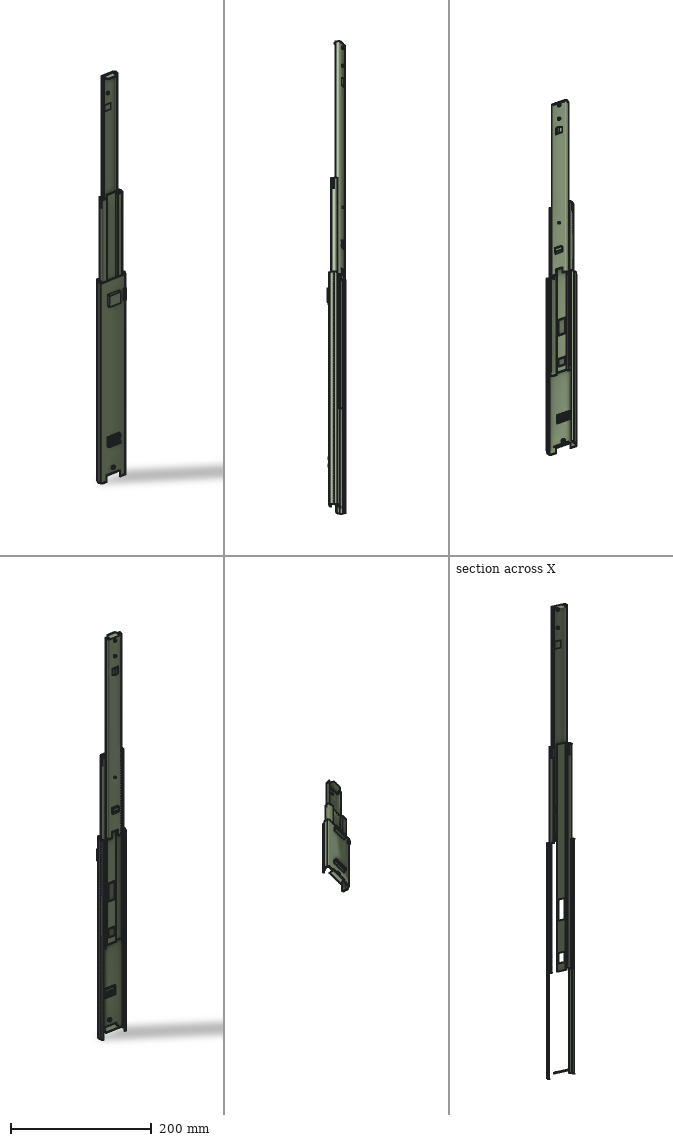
import cadquery as cq


SHEET = 1.5
THROUGH = 70.0

OUTER_BOTTOM, OUTER_TOP = -350.0, 0.0
OUTER_FRONT, OUTER_BACK = -6.0, 6.0
OUTER_FLANGE = 21.35
OUTER_OVERALL = 22.75
OUTER_MOUTH = 18.0
OUTER_FRONT_RADIUS, OUTER_BACK_RADIUS = 2.25, 1.7
RACE_X = 1.0
RACE_RADIUS = 4.0

MIDDLE_BOTTOM, MIDDLE_TOP = -192.5, 143.0
MIDDLE_FRONT, MIDDLE_BACK = -6.0, 4.0
MIDDLE_FLANGE = 18.0
MIDDLE_MOUTH = 15.5
MIDDLE_FRONT_RADIUS, MIDDLE_BACK_RADIUS = 4.55, 3.0
RIB_FRONT = 0.0
RIB_FOOT, RIB_CREST = 10.0, 8.0
TONGUE_TOP = 146.0
MIDDLE_WINDOWS = [(-117.0, -85.5), (-180.5, -165.0)]
WINDOW_HALF = 5.25

INNER_BOTTOM, INNER_TOP = -1.0, 350.0
INNER_FRONT, INNER_BACK = -8.5, -1.5
INNER_FLANGE = 12.25
INNER_RADIUS = 2.6
INNER_HOLES = [(344.0, 2.0), (316.5, 2.0), (103.5, 1.5)]
SLOT_HALF, SLOT_HEIGHT = 5.25, 10.5
END_TAB_SHOULDER, END_TAB_BACK = 0.0, 2.45
END_TAB_ROOT, END_TAB_TIP = 8.5, 6.0
LUG_FRONT = -10.5
LUG_HALF, LUG_CREST = 5.25, 1.75
LUG_BOTTOM, LUG_TOP = 285.5, 297.0
CATCH_BOTTOM, CATCH_TOP = 41.0, 52.0
CATCH_BEND = 2.0

HOOK_BACK, HOOK_VALLEY = 10.5, 8.0
HOOK_HALF = 10.0
HOOK_BOTTOM, HOOK_TOP = -290.0, -272.0
HOOK_SLIT_BOTTOM, HOOK_SLIT_TOP = -283.5, -281.0
HOOK_RISE, HOOK_CREST = 2.0, 2.0
SPACER_BOTTOM, SPACER_TOP = -43.5, -24.0
EAR_BACK = 8.5
EAR_INNER, EAR_OUTER = 17.0, 20.0
OUTER_HOLE_Z, OUTER_HOLE_RADIUS = -330.0, 3.0
NOTCH_HALF, NOTCH_TOP = 11.55, -339.5
FOOT_TAB_FRONT = -1.5
FOOT_TAB_DROP = 5.0
FOOT_TAB_TAPER = 2.0

STOP_INNER = 12.95
STOP_BOTTOM = 127.5
LOOSE_HALF_DEPTH = 1.5


def block(x_span, y_span, z_span):
    """Box between two limits along each axis."""
    size = [high - low for low, high in (x_span, y_span, z_span)]
    return cq.Workplane("XY").box(*size, centered=False).translate((x_span[0], y_span[0], z_span[0]))


def prism_along_y(points, half_width):
    """Extrude an XZ outline symmetrically about y = 0."""
    return cq.Workplane("XZ").polyline(points).close().extrude(half_width, both=True)


def prism_along_z(points, z_span):
    """Extrude an XY outline between two heights."""
    bottom, top = z_span
    return cq.Workplane("XY").workplane(offset=bottom).polyline(points).close().extrude(top - bottom)


def hole_along_x(height, radius):
    return cq.Workplane("YZ").center(0, height).circle(radius).extrude(THROUGH, both=True)


def rounded_bar(x_span, half_width, z_span, front_radius, back_radius):
    """Bar whose long edges are rounded; a radius of zero keeps that side sharp."""
    bar = block(x_span, (-half_width, half_width), z_span)
    if front_radius:
        bar = bar.edges("|Z and <X").fillet(front_radius)
    if back_radius:
        bar = bar.edges("|Z and >X").fillet(back_radius)
    return bar


def race_bars(radius, z_span):
    """Round bars along both flanges of the outer rail, centred on the ball races."""
    bottom, top = z_span
    race_y = OUTER_OVERALL - RACE_RADIUS
    centres = [(RACE_X, side * race_y) for side in (-1, 1)]
    return cq.Workplane("XY").workplane(offset=bottom).pushPoints(centres).circle(radius).extrude(top - bottom)


def hook_flap(root_z, tip_z):
    """Bent flap behind the outer web: out to its crest, then back to the slit in the middle."""
    up = 1 if tip_z > root_z else -1
    slope_end = root_z + up * HOOK_RISE
    crest_end = slope_end + up * HOOK_CREST
    outside = [
        (OUTER_BACK, root_z),
        (HOOK_BACK, slope_end),
        (HOOK_BACK, crest_end),
        (HOOK_VALLEY, tip_z),
    ]
    inside = [
        (HOOK_VALLEY - SHEET, tip_z),
        (HOOK_BACK - SHEET, crest_end),
        (HOOK_BACK - SHEET, slope_end),
        (OUTER_BACK - SHEET, root_z),
    ]
    return prism_along_y(outside + inside, HOOK_HALF)


def foot_tab():
    """Tab bent forward from the top of the bottom notch, sloping down and widening to its tip."""
    tip_top = NOTCH_TOP - FOOT_TAB_DROP + SHEET
    side = [
        (OUTER_BACK, NOTCH_TOP),
        (OUTER_BACK, NOTCH_TOP + SHEET),
        (FOOT_TAB_FRONT, tip_top),
        (FOOT_TAB_FRONT, tip_top - SHEET),
    ]
    root_half = NOTCH_HALF - FOOT_TAB_TAPER
    plan = [
        (OUTER_BACK, -root_half),
        (OUTER_BACK, root_half),
        (FOOT_TAB_FRONT, NOTCH_HALF),
        (FOOT_TAB_FRONT, -NOTCH_HALF),
    ]
    return prism_along_y(side, NOTCH_HALF).intersect(prism_along_z(plan, (OUTER_BOTTOM, OUTER_TOP)))


def make_outer_rail():
    z_span = (OUTER_BOTTOM, OUTER_TOP)
    outside = rounded_bar(
        (OUTER_FRONT, OUTER_BACK), OUTER_FLANGE, z_span, OUTER_FRONT_RADIUS, OUTER_BACK_RADIUS
    ).union(race_bars(RACE_RADIUS, z_span))
    cavity = rounded_bar(
        (OUTER_FRONT + SHEET, OUTER_BACK - SHEET),
        OUTER_FLANGE - SHEET,
        z_span,
        OUTER_FRONT_RADIUS - SHEET,
        OUTER_BACK_RADIUS - SHEET,
    ).union(race_bars(RACE_RADIUS - SHEET, z_span))
    mouth = block((OUTER_FRONT, OUTER_FRONT + SHEET), (-OUTER_MOUTH, OUTER_MOUTH), z_span)
    rail = outside.cut(cavity).cut(mouth)

    web = (OUTER_BACK - SHEET, OUTER_BACK)
    rail = rail.cut(block(web, (-HOOK_HALF, HOOK_HALF), (HOOK_BOTTOM, HOOK_TOP)))
    sill = block(web, (-HOOK_HALF, HOOK_HALF), (HOOK_BOTTOM, HOOK_BOTTOM + SHEET))
    lintel = block(web, (-HOOK_HALF, HOOK_HALF), (HOOK_TOP - SHEET, HOOK_TOP))
    rail = rail.union(sill).union(hook_flap(HOOK_BOTTOM, HOOK_SLIT_BOTTOM))
    rail = rail.union(lintel).union(hook_flap(HOOK_TOP, HOOK_SLIT_TOP))

    spacer_z = (SPACER_BOTTOM, SPACER_TOP)
    rail = rail.union(block((OUTER_BACK - SHEET, HOOK_BACK), (-HOOK_HALF, HOOK_HALF), spacer_z))
    rail = rail.union(block((OUTER_BACK - SHEET, EAR_BACK), (EAR_INNER, EAR_OUTER), spacer_z))

    rail = rail.cut(hole_along_x(OUTER_HOLE_Z, OUTER_HOLE_RADIUS))
    rail = rail.cut(block(web, (-NOTCH_HALF, NOTCH_HALF), (OUTER_BOTTOM, NOTCH_TOP)))
    return rail.union(foot_tab())


def rib_prism(front, back, wall, z_span):
    """Trapezoidal rib between two depths, with its sloping sides moved inward by a wall."""
    web_front = MIDDLE_BACK - SHEET
    widening = (RIB_FOOT - RIB_CREST) / (web_front - RIB_FRONT)
    front_half = RIB_CREST + (front - RIB_FRONT) * widening - wall
    back_half = RIB_CREST + (back - RIB_FRONT) * widening - wall
    outline = [(front, -front_half), (front, front_half), (back, back_half), (back, -back_half)]
    return prism_along_z(outline, z_span)


def make_middle_rail():
    z_span = (MIDDLE_BOTTOM, MIDDLE_TOP)
    outside = rounded_bar(
        (MIDDLE_FRONT, MIDDLE_BACK), MIDDLE_FLANGE, z_span, MIDDLE_FRONT_RADIUS, MIDDLE_BACK_RADIUS
    )
    cavity = rounded_bar(
        (MIDDLE_FRONT + SHEET, MIDDLE_BACK - SHEET),
        MIDDLE_FLANGE - SHEET,
        z_span,
        MIDDLE_FRONT_RADIUS - SHEET,
        MIDDLE_BACK_RADIUS - SHEET,
    )
    mouth = block((MIDDLE_FRONT, MIDDLE_FRONT + SHEET), (-MIDDLE_MOUTH, MIDDLE_MOUTH), z_span)
    rail = outside.cut(cavity).cut(mouth)

    rail = rail.union(rib_prism(RIB_FRONT, MIDDLE_BACK, 0, z_span))
    rail = rail.cut(rib_prism(RIB_FRONT + SHEET, MIDDLE_BACK, SHEET, z_span))
    crest = (RIB_FRONT, RIB_FRONT + SHEET)
    rail = rail.union(block(crest, (-RIB_CREST, RIB_CREST), (MIDDLE_TOP, TONGUE_TOP)))
    for window_z in MIDDLE_WINDOWS:
        rail = rail.cut(block(crest, (-WINDOW_HALF, WINDOW_HALF), window_z))
    return rail


def make_inner_rail():
    z_span = (INNER_BOTTOM, INNER_TOP)
    web_back = INNER_FRONT + SHEET
    outside = rounded_bar((INNER_FRONT, INNER_BACK), INNER_FLANGE, z_span, INNER_RADIUS, 0)
    cavity = rounded_bar(
        (web_back, INNER_BACK), INNER_FLANGE - SHEET, z_span, INNER_RADIUS - SHEET, 0
    )
    rail = outside.cut(cavity)
    web = (INNER_FRONT, web_back)

    for height, radius in INNER_HOLES:
        rail = rail.cut(hole_along_x(height, radius))
    rail = rail.cut(block(web, (-SLOT_HALF, SLOT_HALF), (INNER_BOTTOM, INNER_BOTTOM + SLOT_HEIGHT)))

    end_tab = [
        (INNER_FRONT, -END_TAB_ROOT),
        (INNER_FRONT, END_TAB_ROOT),
        (END_TAB_SHOULDER, END_TAB_ROOT),
        (END_TAB_BACK, END_TAB_TIP),
        (END_TAB_BACK, -END_TAB_TIP),
        (END_TAB_SHOULDER, -END_TAB_ROOT),
    ]
    rail = rail.union(prism_along_z(end_tab, (INNER_TOP - SHEET, INNER_TOP)))

    lug = [
        (web_back, -LUG_HALF),
        (INNER_FRONT, -LUG_HALF),
        (LUG_FRONT, -LUG_CREST),
        (LUG_FRONT, LUG_CREST),
        (INNER_FRONT, LUG_HALF),
        (web_back, LUG_HALF),
    ]
    rail = rail.union(prism_along_z(lug, (LUG_BOTTOM, LUG_TOP)))

    rail = rail.cut(block(web, (-LUG_HALF, LUG_HALF), (CATCH_BOTTOM + CATCH_BEND, CATCH_TOP)))
    catch = [
        (web_back, CATCH_BOTTOM),
        (INNER_FRONT, CATCH_BOTTOM),
        (LUG_FRONT, CATCH_BOTTOM + CATCH_BEND),
        (LUG_FRONT, CATCH_TOP),
        (LUG_FRONT + SHEET, CATCH_TOP),
        (LUG_FRONT + SHEET, CATCH_BOTTOM + 2 * CATCH_BEND),
        (web_back, CATCH_BOTTOM + CATCH_BEND),
    ]
    return rail.union(prism_along_y(catch, LUG_HALF))


def make_side_bar(side, inner_y, outer_y, z_span):
    """Straight bar filling the gap between two rails on one side (+1 or -1)."""
    y_span = sorted((side * inner_y, side * outer_y))
    return block((-LOOSE_HALF_DEPTH, LOOSE_HALF_DEPTH), y_span, z_span)


def make_end_stop(side):
    """Stop at the top of the middle rail, against the inside of its flange."""
    return make_side_bar(side, STOP_INNER, MIDDLE_FLANGE - SHEET, (STOP_BOTTOM, MIDDLE_TOP))


def make_ball_retainer(side):
    """Strip along the overlap of the outer and middle rails, reaching into the ball race."""
    return make_side_bar(side, MIDDLE_FLANGE, OUTER_FLANGE - SHEET, (MIDDLE_BOTTOM, OUTER_TOP))


outer_rail = make_outer_rail()
middle_rail = make_middle_rail()
inner_rail = make_inner_rail()
end_stops = [make_end_stop(side) for side in (-1, 1)]
ball_retainers = [make_ball_retainer(side) for side in (-1, 1)]

bodies = [outer_rail, middle_rail, inner_rail, *end_stops, *ball_retainers]
result = cq.Compound.makeCompound([body.solids().val() for body in bodies])